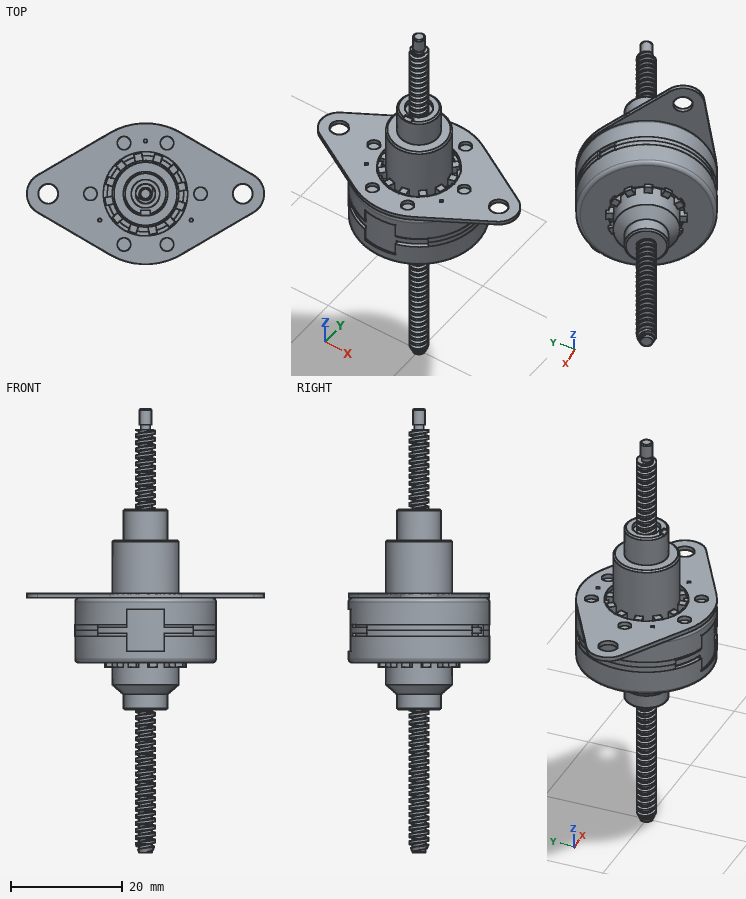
import cadquery as cq
import math

flange_thickness = 0.8
ear_spacing = 35.05
ear_radius = 3.88
ear_hole_radius = 1.8
flange_bore_radius = 7.6
access_hole_radius = 1.2
access_hole_circle = 9.9
access_hole_angles = (0, 67, 113, 180, 247, 293)
weld_hole_radius = 0.3
weld_hole_circle = 9.5
weld_hole_angles = (90, 210, 330)

can_radius = 12.7
can_half_height = 5.85
can_edge_radius = 0.7
cup_wall = 0.8
cup_bore_radius = 6.9
yoke_thickness = 1.05
yoke_notch_radius = 11.2

pad_radius = 12.4
pad_width = 6.7
pad_half_height = 3.8
arm_half_height = 0.6
front_window_half_width = 8.6
rear_window_inner_x = 5.3
rear_window_outer_x = 8.4

claw_count = 12
claw_angle = 11
claw_width = 1.45
claw_outer_radius = 7.4

hub_radius = 6.0
nose_radius = 4.0
front_shoulder_z = 9.6
front_nose_z = 15.2
rear_cone_start_z = -16.4
rear_cone_end_z = -18.2
rear_nose_z = -21.0
hub_chamfer = 0.3
nose_recess_radius = 2.6
nose_recess_depth = 0.8
notch_width = 1.8
notch_inner_y = 3.0
notch_depth = 0.25

screw_radius = 1.8
screw_root_radius = 1.2
screw_length = 80.0
screw_top_z = 33.3
journal_radius = 1.1
journal_bottom_z = 30.4
journal_chamfer = 0.25
neck_radius = 0.9
thread_pitch = 10.2 / 8
thread_start_angle = 120
segment_turns = 2
segment_count = 30
thread_crest = 0.5
thread_base = 0.8
flank_steps = 6
tip_chamfer_length = 1.6
tip_radius = 1.1

can_top_z = -flange_thickness
can_middle_z = can_top_z - can_half_height
drum_radius = can_radius - cup_wall
drum_half_height = can_half_height - cup_wall
screw_bottom_z = screw_top_z - screw_length
thread_top_z = screw_bottom_z + segment_turns * segment_count * thread_pitch


def cylinder(radius, bottom_z, top_z):
    return cq.Workplane("XY").workplane(offset=bottom_z).circle(radius).extrude(top_z - bottom_z)


def block(x_min, x_max, y_min, y_max, z_min, z_max):
    corner = (x_min, y_min, z_min)
    return cq.Workplane("XY").box(x_max - x_min, y_max - y_min, z_max - z_min, centered=False).translate(corner)


def polar_points(radius, angles):
    return [(radius * math.cos(math.radians(a)), radius * math.sin(math.radians(a))) for a in angles]


def mirrored_about_can_middle(body):
    return body.mirror("XY", (0, 0, can_middle_z))


def window_blocks(half_height):
    """Three openings in the can wall: a wide one at -Y and two narrow ones at +Y."""
    z_min = can_middle_z - half_height
    z_max = can_middle_z + half_height
    front = block(-front_window_half_width, front_window_half_width, -can_radius, 0, z_min, z_max)
    rear_right = block(rear_window_inner_x, rear_window_outer_x, 0, can_radius, z_min, z_max)
    rear_left = rear_right.mirror("YZ")
    return front.union(rear_right).union(rear_left)


def pad_block():
    """Upright block of the T-shaped pad on the -Y side."""
    z_min = can_middle_z - pad_half_height
    z_max = can_middle_z + pad_half_height
    return block(-pad_width / 2, pad_width / 2, -can_radius, 0, z_min, z_max)


def make_flange():
    ear_x = ear_spacing / 2
    tangent_cos = (can_radius - ear_radius) / ear_x
    tangent_sin = math.sqrt(1 - tangent_cos**2)
    disc_x = can_radius * tangent_cos
    disc_y = can_radius * tangent_sin
    tip_x = ear_x + ear_radius * tangent_cos
    tip_y = ear_radius * tangent_sin
    flange = (
        cq.Workplane("XY")
        .workplane(offset=-flange_thickness)
        .moveTo(-disc_x, disc_y)
        .threePointArc((0, can_radius), (disc_x, disc_y))
        .lineTo(tip_x, tip_y)
        .threePointArc((ear_x + ear_radius, 0), (tip_x, -tip_y))
        .lineTo(disc_x, -disc_y)
        .threePointArc((0, -can_radius), (-disc_x, -disc_y))
        .lineTo(-tip_x, -tip_y)
        .threePointArc((-ear_x - ear_radius, 0), (-tip_x, tip_y))
        .close()
        .extrude(flange_thickness)
    )
    holes = (
        ([(0, 0)], flange_bore_radius),
        ([(-ear_x, 0), (ear_x, 0)], ear_hole_radius),
        (polar_points(access_hole_circle, access_hole_angles), access_hole_radius),
        (polar_points(weld_hole_circle, weld_hole_angles), weld_hole_radius),
    )
    for centres, radius in holes:
        flange = flange.cut(
            cq.Workplane("XY").pushPoints(centres).circle(radius).extrude(-flange_thickness)
        )
    return flange


def make_front_cup():
    rim_z = can_middle_z + yoke_thickness
    cup = cylinder(can_radius, rim_z, can_top_z).faces(">Z").edges().fillet(can_edge_radius)
    cup = cup.cut(cylinder(drum_radius, rim_z, can_top_z - cup_wall))
    cup = cup.cut(cylinder(cup_bore_radius, can_top_z - cup_wall, can_top_z))
    return cup.cut(pad_block())


def make_front_yoke():
    top_z = can_middle_z + yoke_thickness
    yoke = cylinder(can_radius, can_middle_z, top_z).cut(cylinder(hub_radius, can_middle_z, top_z))
    notches = window_blocks(yoke_thickness).cut(
        cylinder(yoke_notch_radius, can_middle_z - yoke_thickness, top_z)
    )
    return yoke.cut(notches)


def make_hub():
    hub = (
        cq.Workplane("XZ")
        .polyline([
            (0, rear_nose_z),
            (nose_radius - hub_chamfer, rear_nose_z),
            (nose_radius, rear_nose_z + hub_chamfer),
            (nose_radius, rear_cone_end_z),
            (hub_radius, rear_cone_start_z),
            (hub_radius, front_shoulder_z - hub_chamfer),
            (hub_radius - hub_chamfer, front_shoulder_z),
            (nose_radius, front_shoulder_z),
            (nose_radius, front_nose_z - hub_chamfer),
            (nose_radius - hub_chamfer, front_nose_z),
            (0, front_nose_z),
        ])
        .close()
        .revolve(360, (0, 0, 0), (0, 1, 0))
    )
    recess = cylinder(nose_recess_radius, front_nose_z - nose_recess_depth, front_nose_z)
    notch = block(
        -notch_width / 2, notch_width / 2, -nose_radius, -notch_inner_y,
        front_nose_z - notch_depth, front_nose_z,
    )
    return hub.cut(recess).cut(notch)


def make_claws():
    """Claws of the +Z end, reaching from the drum through the cup and over its face."""
    claws = cq.Workplane("XY")
    drum_top_z = can_middle_z + drum_half_height
    stem_limit = cylinder(cup_bore_radius, drum_top_z, can_top_z)
    lip_limit = cylinder(claw_outer_radius, can_top_z, 0)
    limits = stem_limit.union(lip_limit)
    for index in range(claw_count):
        bar = block(0, can_radius, -claw_width / 2, claw_width / 2, drum_top_z, 0)
        bar = bar.rotate((0, 0, 0), (0, 0, 1), claw_angle + index * 360 / claw_count)
        claws = claws.union(bar.intersect(limits))
    return claws


def make_core():
    drum_bottom_z = can_middle_z - drum_half_height
    drum_top_z = can_middle_z + drum_half_height
    drum = cylinder(drum_radius, drum_bottom_z, drum_top_z)
    front_yoke = make_front_yoke()
    drum = drum.cut(front_yoke).cut(mirrored_about_can_middle(front_yoke))

    pad_shell = cylinder(pad_radius, drum_bottom_z, drum_top_z).cut(
        cylinder(drum_radius, drum_bottom_z, drum_top_z)
    )
    pad = pad_shell.intersect(pad_block().union(window_blocks(arm_half_height)))

    claws = make_claws()
    core = make_hub().union(drum).union(pad).union(claws).union(mirrored_about_can_middle(claws))
    return core.cut(cylinder(screw_radius, rear_nose_z, front_nose_z))


def thread_section():
    """Cross-section of the thread: crest and root arcs joined by spiral flanks."""
    half_crest = math.pi * thread_crest / thread_pitch
    half_base = math.pi * thread_base / thread_pitch

    def flank_point(fraction, side):
        angle = side * (half_crest + (half_base - half_crest) * fraction)
        radius = screw_radius + (screw_root_radius - screw_radius) * fraction
        return (radius * math.cos(angle), radius * math.sin(angle))

    fractions = [step / flank_steps for step in range(flank_steps + 1)]
    left_flank = [flank_point(fraction, 1) for fraction in fractions]
    right_flank = [flank_point(fraction, -1) for fraction in reversed(fractions)]
    return (
        cq.Workplane("XY")
        .moveTo(*right_flank[-1])
        .threePointArc((screw_radius, 0), left_flank[0])
        .spline(left_flank[1:], includeCurrent=True)
        .threePointArc((-screw_root_radius, 0), right_flank[0])
        .spline(right_flank[1:], includeCurrent=True)
        .close()
    )


def make_screw():
    """The thread is made in equal lengths, whose outer faces are sewn into one solid."""
    segment_length = segment_turns * thread_pitch
    segment = thread_section().twistExtrude(segment_length, 360 * segment_turns)
    segment = segment.rotate((0, 0, 0), (0, 0, 1), thread_start_angle)

    cone_height = tip_chamfer_length * (can_radius - tip_radius) / (screw_radius - tip_radius)
    tip_cutter = (
        cq.Workplane("XZ")
        .polyline([(tip_radius, 0), (can_radius, 0), (can_radius, cone_height)])
        .close()
        .revolve(360, (0, 0, 0), (0, 1, 0))
    )
    tip = segment.cut(tip_cutter)

    neck = cylinder(neck_radius, thread_top_z, journal_bottom_z)
    journal = cylinder(journal_radius, journal_bottom_z, screw_top_z)
    journal = journal.faces(">Z").edges().chamfer(journal_chamfer)
    head = segment.translate((0, 0, thread_top_z - segment_length)).union(neck).union(journal)

    skin = tip.translate((0, 0, screw_bottom_z)).faces("not >Z").vals()
    for index in range(1, segment_count - 1):
        middle = segment.translate((0, 0, screw_bottom_z + index * segment_length))
        skin += middle.faces("not (<Z or >Z)").vals()
    skin += head.faces("not <Z").vals()
    return cq.Workplane(cq.Solid.makeSolid(cq.Shell.makeShell(skin)))


flange = make_flange()
front_cup = make_front_cup()
rear_cup = mirrored_about_can_middle(front_cup)
front_yoke = make_front_yoke()
rear_yoke = mirrored_about_can_middle(front_yoke)
core = make_core()
screw = make_screw()

bodies = [flange, front_cup, rear_cup, front_yoke, rear_yoke, core, screw]
result = cq.Compound.makeCompound([body.val() for body in bodies])